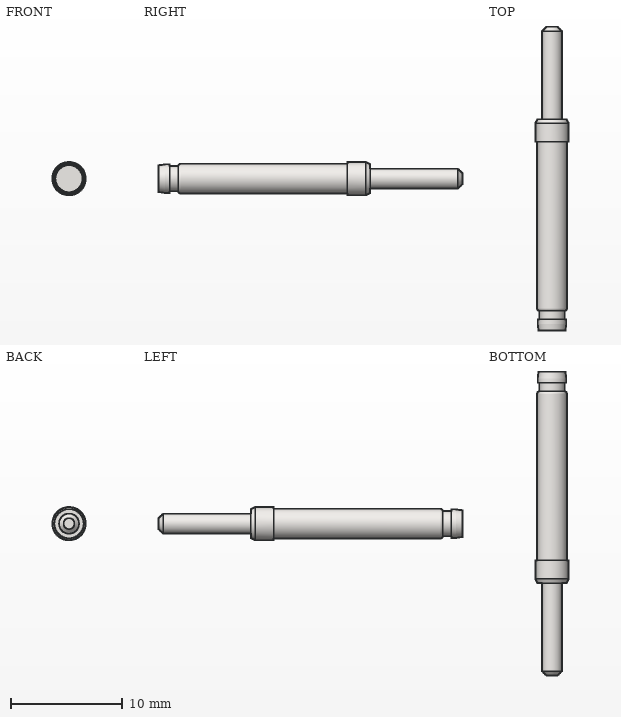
import cadquery as cq


total_length = 27.3
plunger_diameter = 1.8
plunger_length = 8.3
tip_chamfer = 0.4
collar_diameter = 3.0
collar_length = 2.05
collar_chamfer_length = 0.38
collar_chamfer_depth = 0.2
barrel_diameter = 2.7
barrel_round_length = 0.25
barrel_round_depth = 0.16
neck_diameter = 2.3
neck_length = 0.76
head_diameter = 2.6
head_length = 1.0
head_taper_length = 0.6
head_taper_depth = 0.08

plunger_radius = plunger_diameter / 2
collar_radius = collar_diameter / 2
barrel_radius = barrel_diameter / 2
neck_radius = neck_diameter / 2
head_radius = head_diameter / 2

barrel_round_radius = (barrel_round_length**2 + barrel_round_depth**2) / (2 * barrel_round_depth)

rear_end = -total_length / 2
tip_end = total_length / 2
head_front = rear_end + head_length
barrel_rear = head_front + neck_length
collar_front = tip_end - plunger_length
collar_rear = collar_front - collar_length


def make_body():
    """Half profile of head, neck, barrel, collar and plunger, revolved about Y."""
    profile = (
        cq.Workplane("XY")
        .moveTo(0, rear_end)
        .lineTo(head_radius - head_taper_depth, rear_end)
        .lineTo(head_radius, rear_end + head_taper_length)
        .lineTo(head_radius, head_front)
        .lineTo(neck_radius, head_front)
        .lineTo(neck_radius, barrel_rear)
        .lineTo(barrel_radius - barrel_round_depth, barrel_rear)
        .radiusArc((barrel_radius, barrel_rear + barrel_round_length), -barrel_round_radius)
        .lineTo(barrel_radius, collar_rear)
        .lineTo(collar_radius, collar_rear)
        .lineTo(collar_radius, collar_front - collar_chamfer_length)
        .lineTo(collar_radius - collar_chamfer_depth, collar_front)
        .lineTo(plunger_radius, collar_front)
        .lineTo(plunger_radius, tip_end - tip_chamfer)
        .lineTo(plunger_radius - tip_chamfer, tip_end)
        .lineTo(0, tip_end)
        .close()
    )
    return profile.revolve(360, (0, 0, 0), (0, 1, 0))


result = make_body()